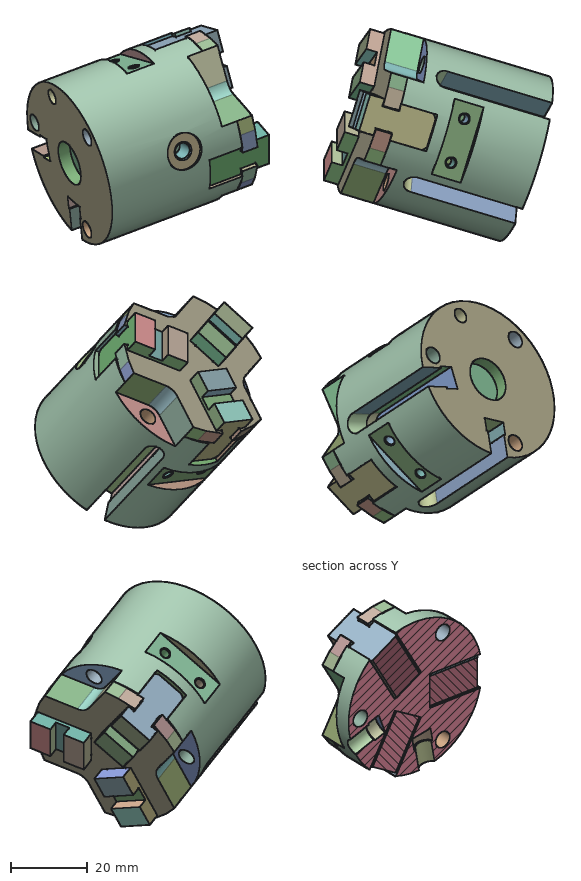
import cadquery as cq
import math


RADIUS = 22.5
LENGTH = 48.0
COVER_TOP = 44.0
COVER_BOTTOM = 39.5
RELIEF_BOTTOM = 35.0
JAW_BOTTOM = 29.5

JAW_ANGLES = (0, 120, 240)
HALF_SECTOR = 180 / len(JAW_ANGLES)
JAW_INNER = 5.0
JAW_OUTER = 21.0
JAW_WIDTH = 10.0
NECK_WIDTH = 5.95
NECK_SLOT_WIDTH = 6.45
FOOT_CHAMFER = 1.0
NOTCH_CENTER = 13.0
NOTCH_WIDTH = 4.0
NOTCH_DEPTH = 3.0

HOLE_DISTANCE = 18.5
MOUNTING_ANGLES = (60, 180, 300)
MOUNTING_RADIUS = 2.3
GUIDE_HALF_WIDTH = 12.0
RELIEF_RADIUS = 4.0
DOWEL_ANGLE = 120
DOWEL_RADIUS = 2.0
DOWEL_DEPTH = 10.0
DRILL_TIP_ANGLE = 118

COVER_EDGE = 22.0
COVER_CORNER = (20.65, 8.35)

BORE_RADIUS = 6.0
BORE_DEPTH = 3.5

SENSOR_ANGLES = (200, 280)
SENSOR_FLOOR = 12.0
SENSOR_STEP = 15.7
SENSOR_WIDTH = 5.5
SENSOR_INNER_WIDTH = 6.4
SENSOR_END_CENTER = 29.1

FLAT_ANGLES = (120, 240)
FLAT_DISTANCE = 20.0
FLAT_START = 18.0
FLAT_END = 26.0
SCREW_OFFSET = 6.0
SCREW_RADIUS = 1.25
SCREW_DEPTH = 6.95
SCREW_CHAMFER = 0.25

PORT_ANGLE = 25
PORT_Y = 23.0
PORT_FACE = 21.5
PORT_FACE_RADIUS = 5.0
PORT_MOUTH_RADIUS = 2.5
PORT_DEPTH = 6.0
PORT_CHAMFER = 0.4


def turned(shape, angle):
    """Turn a shape built along +X to its angle about the gripper axis."""
    return shape.rotate((0, 0, 0), (0, -1, 0), angle)


def radial_block(inner, outer, width, start, end):
    """Block along +X, centred across it, from start to end along Y."""
    size = (outer - inner, end - start, width)
    return cq.Workplane("XY").box(*size, centered=(False, False, True)).translate((inner, start, 0))


def cross_section(start):
    """Plane across the gripper axis: local axes are X and Z, and -extrude runs to +Y."""
    return cq.Workplane("XZ", origin=(0, start, 0))


def radial_plane(distance):
    """Plane across +X: local axes are Y and Z, and extrude runs outward."""
    return cq.Workplane("YZ", origin=(distance, 0, 0))


def cone_length(radius):
    """Length of a drill tip's cone."""
    return radius / math.tan(math.radians(DRILL_TIP_ANGLE / 2))


def drilled_hole(radius, depth):
    """Drill along +Y from the origin, with a conical tip."""
    profile = [(0, 0), (radius, 0), (radius, depth), (0, depth + cone_length(radius))]
    return cq.Workplane("XY").polyline(profile).close().revolve(360, (0, 0), (0, 1))


def cover_sector():
    """Third of the cover around one jaw, with its facets on the outside."""
    along, across = COVER_CORNER
    guide_end = math.sqrt(RADIUS**2 - GUIDE_HALF_WIDTH**2)
    sector_end = math.radians(HALF_SECTOR)
    upper_half = [
        (COVER_EDGE, NECK_SLOT_WIDTH / 2),
        COVER_CORNER,
        (guide_end, GUIDE_HALF_WIDTH),
        (HOLE_DISTANCE * math.cos(sector_end), HOLE_DISTANCE * math.sin(sector_end)),
    ]
    lower_half = [(x, -z) for x, z in upper_half]
    outline = upper_half + [(0, 0)] + lower_half[::-1]
    return cross_section(COVER_BOTTOM).polyline(outline).close().extrude(COVER_BOTTOM - COVER_TOP)


def relief():
    """V-shaped relief with a rounded bottom, between two jaw guides, built along +X."""
    slope = math.radians(90 - HALF_SECTOR)
    apex = GUIDE_HALF_WIDTH / math.cos(slope)
    center = apex + RELIEF_RADIUS / math.cos(slope)
    tangent = (center - RELIEF_RADIUS * math.cos(slope), RELIEF_RADIUS * math.sin(slope))
    reach = RADIUS + RELIEF_RADIUS
    side = (reach, (reach - apex) / math.tan(slope))
    return (
        cross_section(RELIEF_BOTTOM)
        .moveTo(side[0], -side[1])
        .lineTo(tangent[0], -tangent[1])
        .threePointArc((center - RELIEF_RADIUS, 0), tangent)
        .lineTo(*side)
        .close()
        .extrude(RELIEF_BOTTOM - COVER_TOP)
    )


def jaw_pocket():
    """T-shaped guide for one jaw: wide below the cover, narrow through it."""
    foot = radial_block(JAW_INNER, RADIUS, JAW_WIDTH, JAW_BOTTOM, COVER_BOTTOM)
    neck = radial_block(JAW_INNER, RADIUS, NECK_SLOT_WIDTH, COVER_BOTTOM, COVER_TOP)
    return foot.union(neck)


def sensor_slot():
    """Radial slot from the mounting face with a round end, wider at the inside."""

    def round_ended(inner, outer, width):
        straight = radial_block(inner, outer, width, 0, SENSOR_END_CENTER)
        end = radial_plane(inner).center(SENSOR_END_CENTER, 0).circle(width / 2).extrude(outer - inner)
        return straight.union(end)

    undercut = round_ended(SENSOR_FLOOR, SENSOR_STEP, SENSOR_INNER_WIDTH)
    return undercut.union(round_ended(SENSOR_STEP, RADIUS, SENSOR_WIDTH))


def screw_flat():
    """Flat recess across the housing, with two chamfered screw holes in its floor."""
    cut = radial_block(FLAT_DISTANCE, RADIUS, 2 * RADIUS, FLAT_START, FLAT_END)
    middle = (FLAT_START + FLAT_END) / 2
    for offset in (-SCREW_OFFSET, SCREW_OFFSET):
        hole = radial_plane(FLAT_DISTANCE).center(middle, offset).circle(SCREW_RADIUS).extrude(-SCREW_DEPTH)
        chamfer = (
            radial_plane(FLAT_DISTANCE)
            .center(middle, offset)
            .circle(SCREW_RADIUS + SCREW_CHAMFER)
            .extrude(-SCREW_CHAMFER, taper=45)
        )
        cut = cut.union(hole).union(chamfer)
    return cut


def air_port():
    """Spot-faced port with a chamfered hole."""
    face = radial_plane(PORT_FACE).center(PORT_Y, 0)
    spot_face = face.circle(PORT_FACE_RADIUS).extrude(RADIUS - PORT_FACE)
    hole = face.circle(PORT_MOUTH_RADIUS - PORT_CHAMFER).extrude(-PORT_DEPTH)
    chamfer = face.circle(PORT_MOUTH_RADIUS).extrude(-PORT_CHAMFER, taper=45)
    return spot_face.union(hole).union(chamfer)


def make_housing():
    housing = cross_section(0).circle(RADIUS).extrude(-COVER_BOTTOM)
    for angle in JAW_ANGLES:
        housing = housing.union(turned(cover_sector(), angle))
    for angle in JAW_ANGLES:
        housing = housing.cut(turned(jaw_pocket(), angle))
    mounting_hole = cross_section(0).center(HOLE_DISTANCE, 0).circle(MOUNTING_RADIUS).extrude(-COVER_TOP)
    for angle in MOUNTING_ANGLES:
        housing = housing.cut(turned(relief(), angle)).cut(turned(mounting_hole, angle))
    dowel_hole = drilled_hole(DOWEL_RADIUS, DOWEL_DEPTH).translate((HOLE_DISTANCE, 0, 0))
    housing = housing.cut(turned(dowel_hole, DOWEL_ANGLE))
    housing = housing.cut(cross_section(0).circle(BORE_RADIUS).extrude(-BORE_DEPTH))
    for angle in SENSOR_ANGLES:
        housing = housing.cut(turned(sensor_slot(), angle))
    for angle in FLAT_ANGLES:
        housing = housing.cut(turned(screw_flat(), angle))
    return housing.cut(turned(air_port(), PORT_ANGLE))


def make_jaw():
    """Jaw with a chamfered foot, a narrow neck and a notched head, built along +X."""
    foot = radial_block(JAW_INNER, JAW_OUTER, JAW_WIDTH, JAW_BOTTOM, COVER_BOTTOM)
    foot = foot.faces("<Y").edges("|X").chamfer(FOOT_CHAMFER)
    neck = radial_block(JAW_INNER, JAW_OUTER, NECK_WIDTH, COVER_BOTTOM, COVER_TOP)
    head = radial_block(JAW_INNER, JAW_OUTER, JAW_WIDTH, COVER_TOP, LENGTH)
    notch_start = NOTCH_CENTER - NOTCH_WIDTH / 2
    notch = radial_block(notch_start, notch_start + NOTCH_WIDTH, JAW_WIDTH, LENGTH - NOTCH_DEPTH, LENGTH)
    return foot.union(neck).union(head).cut(notch)


housing = make_housing()
jaws = [turned(make_jaw(), angle) for angle in JAW_ANGLES]

result = cq.Compound.makeCompound([housing.val(), *[jaw.val() for jaw in jaws]])